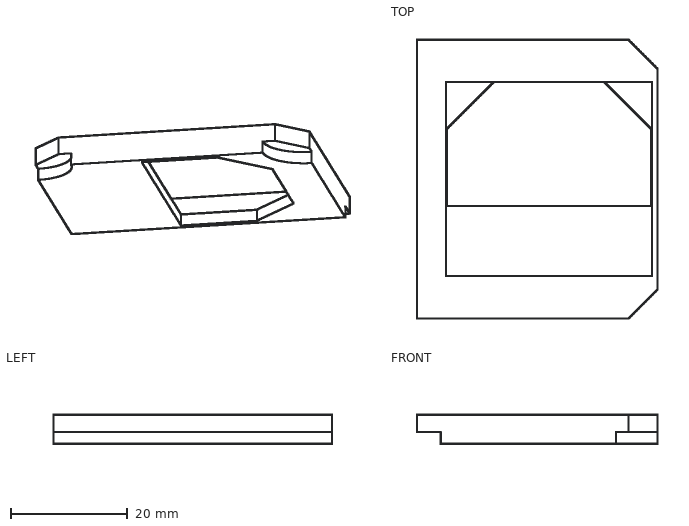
import cadquery as cq

length_x = 41.3
width_y = 47.8
frame_thickness = 3.0
base_thickness = 2.0
frame_chamfer = 5.0

base_setback = 4.1
corner_scoop_radius = 7.15

pocket_left = 5.0
pocket_length = 35.3
pocket_width = 33.25

window_side_ledge = 0.2
window_front_ledge = 12.05
window_chamfer = 8.0


def corner_box(left, front, bottom, size_x, size_y, height):
    """Box placed by its left, front, bottom corner."""
    return cq.Workplane("XY").box(size_x, size_y, height, centered=False).translate((left, front, bottom))


def make_frame():
    """Upper frame with chamfered right corners and a rectangular pocket."""
    plate = corner_box(0, -width_y / 2, base_thickness, length_x, width_y, frame_thickness)
    plate = plate.edges("|Z and >X").chamfer(frame_chamfer)
    pocket = corner_box(
        pocket_left, -pocket_width / 2, base_thickness, pocket_length, pocket_width, frame_thickness
    )
    return plate.cut(pocket)


def make_base():
    """Lower plate with scooped right corners and a window with chamfered back corners."""
    plate = corner_box(base_setback, -width_y / 2, 0, length_x - base_setback, width_y, base_thickness)
    corners = [(length_x, -width_y / 2), (length_x, width_y / 2)]
    scoops = cq.Workplane("XY").pushPoints(corners).circle(corner_scoop_radius).extrude(base_thickness)
    window = corner_box(
        pocket_left + window_side_ledge,
        -pocket_width / 2 + window_front_ledge,
        0,
        pocket_length - 2 * window_side_ledge,
        pocket_width - window_front_ledge,
        base_thickness,
    )
    window = window.edges("|Z and >Y").chamfer(window_chamfer)
    return plate.cut(scoops).cut(window)


result = make_frame().union(make_base())